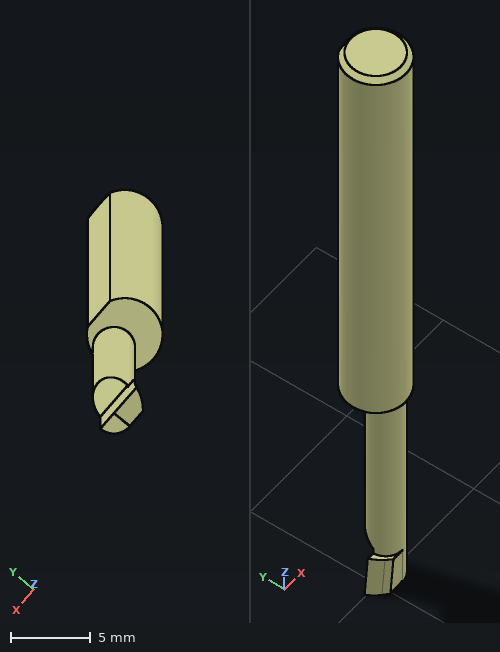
import cadquery as cq
import math

overall_length = 50.79
shank_diameter = 4.76
shank_length = 31.75
flat_offset = 2.13
end_chamfer_width = 0.42
end_chamfer_height = 0.38
neck_diameter = 2.66

head_height = 3.18
relief_height = 3.55
corner_x = -1.18
flank_x = -0.62
flank_y = -0.95
heel_x = -0.25
flank_bulge = 0.05
side_lean_angle = 6.0
end_clearance_angle = 5.0
end_dish_angle = 2.0
neck_setback = 0.1

shank_radius = shank_diameter / 2
neck_radius = neck_diameter / 2
neck_x = shank_radius - neck_radius
shank_bottom = overall_length - shank_length
cut_size = 4 * shank_diameter


def make_shank():
    """Round shank with a chamfered end and one flat along its full length."""
    shank = cq.Workplane("XY").workplane(offset=shank_bottom).circle(shank_radius).extrude(shank_length)
    shank = shank.faces(">Z").chamfer(end_chamfer_height, end_chamfer_width)
    beyond_flat = (
        cq.Workplane("XY")
        .box(cut_size, cut_size, shank_length, centered=(True, False, False))
        .translate((0, flat_offset, shank_bottom))
    )
    return shank.cut(beyond_flat)


def make_neck():
    """Offset round neck, cut to half depth at its tip with a 45 degree run-out."""
    neck = cq.Workplane("XY").center(neck_x, 0).circle(neck_radius).extrude(shank_bottom)
    relief = (
        cq.Workplane("YZ")
        .moveTo(0, 0)
        .lineTo(0, relief_height)
        .lineTo(neck_diameter, relief_height + neck_diameter)
        .lineTo(neck_diameter, 0)
        .close()
        .extrude(cut_size, both=True)
    )
    return neck.cut(relief)


def head_section(height):
    """Closed outline of the head at a height; only its -X side leans."""
    lean = height * math.tan(math.radians(side_lean_angle))
    chord_x = flank_x - corner_x
    chord_length = math.hypot(chord_x, flank_y)
    bulge_x = (corner_x + flank_x) / 2 + flank_bulge * flank_y / chord_length
    bulge_y = flank_y / 2 - flank_bulge * chord_x / chord_length
    outline = (
        cq.Workplane("XY")
        .workplane(offset=height)
        .moveTo(corner_x + lean, 0)
        .threePointArc((bulge_x + lean, bulge_y), (flank_x + lean, flank_y))
        .lineTo(heel_x + lean, -neck_radius)
        .lineTo(neck_x, -neck_radius)
        .lineTo(neck_x, 0)
        .close()
    )
    return outline.val()


def make_head():
    """Side-cutting head that blends into the neck along its lowest line."""
    return cq.Workplane(cq.Solid.makeLoft([head_section(0), head_section(head_height)], True))


def make_end_cutter():
    """Space below the tip: an end face rising toward +X and -Y, then the square neck end."""
    below_head = (
        cq.Workplane("XY")
        .box(cut_size, cut_size, cut_size, centered=(True, True, False))
        .translate((0, 0, -cut_size))
        .rotate((0, 0, 0), (1, 0, 0), -end_clearance_angle)
        .rotate((0, 0, 0), (0, 1, 0), -end_dish_angle)
        .translate((corner_x, 0, 0))
    )
    head_side = (
        cq.Workplane("XY")
        .box(cut_size, cut_size, cut_size)
        .translate((neck_x - cut_size / 2, 0, 0))
    )
    below_neck = (
        cq.Workplane("XY")
        .box(cut_size, cut_size, cut_size, centered=(False, True, False))
        .translate((neck_x, 0, neck_setback - cut_size))
    )
    return below_head.intersect(head_side).union(below_neck)


tip = make_neck().union(make_head()).cut(make_end_cutter())
result = make_shank().union(tip)